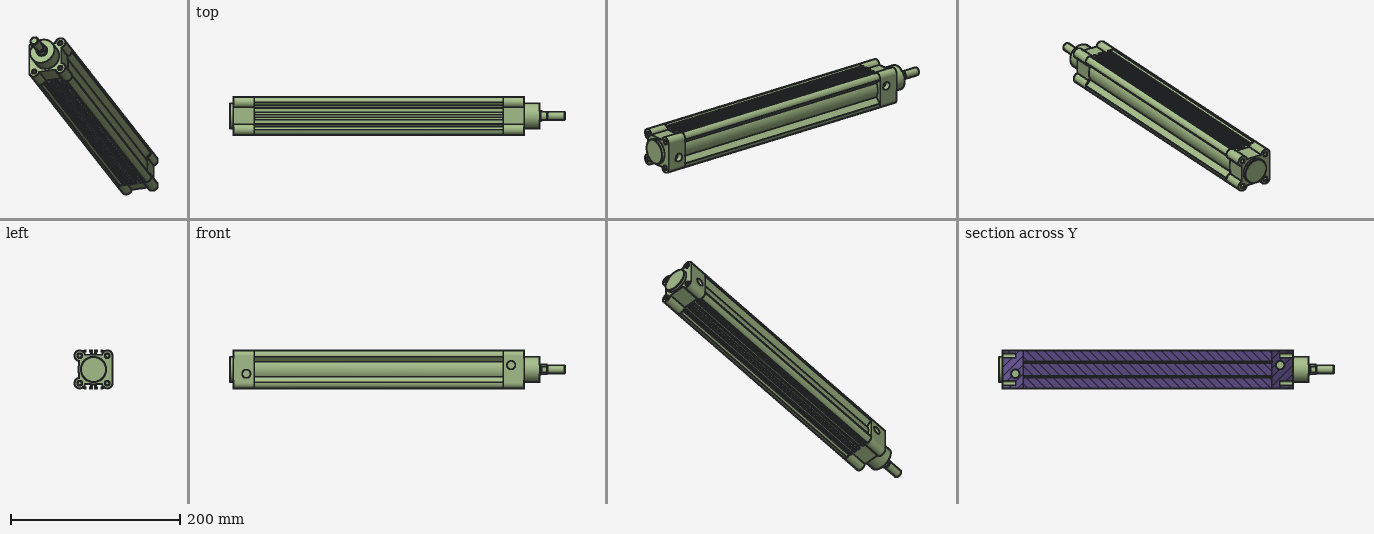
import cadquery as cq
import math


rear_collar_length = 4.0
cap_length = 25.0
tube_length = 294.0
front_collar_length = 18.2
total_length = 396.0

rear_cap_start = -total_length / 2 + rear_collar_length
tube_start = rear_cap_start + cap_length
front_cap_start = tube_start + tube_length
front_cap_end = front_cap_start + cap_length
front_collar_end = front_cap_end + front_collar_length

half_width = 22.5
corner_radius = 6.5
corner_offset = half_width - corner_radius
tube_core_radius = 36.0 / 2

cap_core_half_width = 17.5
collar_radius = 15.0
rear_collar_chamfer = 0.5
screw_hole_diameter = 4.8
screw_hole_depth = 16.0
screw_mouth_chamfer = 0.6
port_diameter = 10.0
port_depth = 8.0
port_height = 5.0
port_from_tube = 9.5

wiper_radius = 6.5
wiper_length = 1.0
wiper_chamfer = 0.2

slot_centre = 6.7
slot_mouth_width = 4.8
slot_inner_width = 7.0
slot_floor = 17.5
slot_lip_thickness = 1.5
middle_groove_width = 2.8
outer_lip_width = 1.0
lip_bevel_width = 2.5
lip_bevel_drop = 1.4
side_groove_bottom_width = 18.0
side_groove_mouth_width = 30.5

rod_radius = 6.0
neck_length = 8.5
flats_start = 2.5
flats_width = 10.0
relief_radius = 8.5 / 2
relief_length = 1.5
thread_radius = 10.0 / 2
thread_chamfer = 0.8


def section_plane(x):
    """Plane square to X whose local axes are Y and Z."""
    return cq.Workplane("YZ", origin=(x, 0, 0))


def corner_points():
    return [(y, z) for y in (-corner_offset, corner_offset) for z in (-corner_offset, corner_offset)]


def cap_body(start):
    """Square core with a round lobe at each corner and a solid wall on the -Y side."""
    core = section_plane(start).rect(2 * cap_core_half_width, 2 * cap_core_half_width).extrude(cap_length)
    lobes = section_plane(start).pushPoints(corner_points()).circle(corner_radius).extrude(cap_length)
    port_wall = (
        section_plane(start)
        .center(-half_width + corner_radius / 2, 0)
        .rect(corner_radius, 2 * corner_offset)
        .extrude(cap_length)
    )
    return core.union(lobes).union(port_wall)


def screw_holes(face_x, inward):
    """Chamfered blind holes at the four corners; inward is +1 or -1 along X."""
    holes = (
        section_plane(face_x)
        .pushPoints(corner_points())
        .circle(screw_hole_diameter / 2)
        .extrude(inward * screw_hole_depth)
    )
    mouths = (
        section_plane(face_x)
        .pushPoints(corner_points())
        .circle(screw_hole_diameter / 2 + screw_mouth_chamfer)
        .extrude(inward * screw_mouth_chamfer, taper=45)
    )
    return holes.union(mouths)


def port(x, z):
    """Blind air port in the -Y wall."""
    return (
        cq.Workplane("XZ", origin=(x, -half_width, z))
        .circle(port_diameter / 2)
        .extrude(-port_depth)
    )


def make_rear_cap():
    collar = section_plane(rear_cap_start).circle(collar_radius).extrude(-rear_collar_length)
    collar = collar.faces("<X").chamfer(rear_collar_chamfer)
    return (
        cap_body(rear_cap_start)
        .union(collar)
        .cut(screw_holes(rear_cap_start, 1))
        .cut(port(tube_start - port_from_tube, -port_height))
    )


def make_front_cap():
    collar = section_plane(front_cap_end).circle(collar_radius).extrude(front_collar_length)
    wiper = section_plane(front_collar_end).circle(wiper_radius).extrude(wiper_length)
    wiper = wiper.faces(">X").chamfer(wiper_chamfer)
    rod_bore_length = cap_length + front_collar_length + wiper_length
    rod_bore = section_plane(front_cap_start).circle(rod_radius).extrude(rod_bore_length)
    return (
        cap_body(front_cap_start)
        .union(collar)
        .union(wiper)
        .cut(rod_bore)
        .cut(screw_holes(front_cap_end, -1))
        .cut(port(front_cap_start + port_from_tube, port_height))
    )


def make_tube():
    """One quarter of the profile, extruded and mirrored about both middle planes."""
    rib_inner = middle_groove_width / 2
    rib_outer = slot_centre - slot_inner_width / 2
    rib_lip_edge = slot_centre - slot_mouth_width / 2
    outer_lip_edge = slot_centre + slot_mouth_width / 2
    slot_outer_wall = slot_centre + slot_inner_width / 2
    lip_underside = half_width - slot_lip_thickness

    bevel_start = outer_lip_edge + outer_lip_width
    bevel_end = bevel_start + lip_bevel_width
    lobe_wall_foot = half_width - (corner_offset - bevel_end)
    corner_middle = corner_offset + corner_radius * math.sqrt(0.5)

    groove_outer = side_groove_mouth_width / 2
    groove_inner = side_groove_bottom_width / 2
    groove_bottom = math.sqrt(tube_core_radius**2 - groove_inner**2)
    groove_wall_top = groove_bottom + groove_outer - groove_inner
    core_angle = math.atan2(groove_inner, groove_bottom) / 2
    core_middle = (tube_core_radius * math.cos(core_angle), tube_core_radius * math.sin(core_angle))

    quarter = (
        section_plane(tube_start)
        .lineTo(0, tube_core_radius)
        .lineTo(rib_inner, tube_core_radius)
        .lineTo(rib_inner, half_width)
        .lineTo(rib_lip_edge, half_width)
        .lineTo(rib_lip_edge, lip_underside)
        .lineTo(rib_outer, lip_underside)
        .lineTo(rib_outer, slot_floor)
        .lineTo(slot_outer_wall, slot_floor)
        .lineTo(slot_outer_wall, lip_underside)
        .lineTo(outer_lip_edge, lip_underside)
        .lineTo(outer_lip_edge, half_width)
        .lineTo(bevel_start, half_width)
        .lineTo(bevel_end, half_width - lip_bevel_drop)
        .lineTo(bevel_end, lobe_wall_foot)
        .lineTo(corner_offset, half_width)
        .threePointArc((corner_middle, corner_middle), (half_width, corner_offset))
        .lineTo(half_width, groove_outer)
        .lineTo(groove_wall_top, groove_outer)
        .lineTo(groove_bottom, groove_inner)
        .threePointArc(core_middle, (tube_core_radius, 0))
        .close()
        .extrude(tube_length)
    )
    half = quarter.union(quarter.mirror("XY"))
    return half.union(half.mirror("XZ"))


def make_rod():
    """Turned rod with wrench flats on the neck, a thread relief and a plain thread cylinder."""
    neck_end = front_collar_end + neck_length
    thread_start = neck_end + relief_length
    rod_end = total_length / 2
    rod = (
        cq.Workplane("XY")
        .moveTo(front_cap_start, 0)
        .lineTo(front_cap_start, rod_radius)
        .lineTo(neck_end, rod_radius)
        .lineTo(neck_end, relief_radius)
        .lineTo(thread_start, relief_radius)
        .lineTo(thread_start, thread_radius)
        .lineTo(rod_end - thread_chamfer, thread_radius)
        .lineTo(rod_end, thread_radius - thread_chamfer)
        .lineTo(rod_end, 0)
        .close()
        .revolve(360, (0, 0, 0), (1, 0, 0))
    )
    flats_length = neck_length - flats_start
    for side in (-1, 1):
        flat_cut = cq.Workplane("XY").box(flats_length, rod_radius, 2 * rod_radius)
        flat_cut = flat_cut.translate((neck_end - flats_length / 2, side * (flats_width + rod_radius) / 2, 0))
        rod = rod.cut(flat_cut)
    return rod


rear_cap = make_rear_cap()
tube = make_tube()
front_cap = make_front_cap()
rod = make_rod()

result = cq.Compound.makeCompound([rear_cap.val(), tube.val(), front_cap.val(), rod.val()])